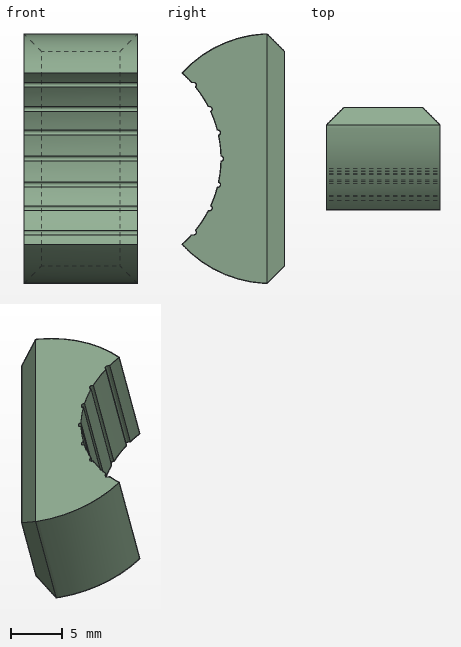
import cadquery as cq
import math

width = 11.0
depth = 9.95
height = 24.2
half_height = height / 2

back_chamfer = 1.7
edge_land = 0.3
end_radius = 11.65
bore_radius = 11.0
tip_half_height = 8.3

groove_radius = 0.25
groove_heights = (2.52, 4.8, 7.14)

bore_axis_y = -math.sqrt(bore_radius**2 - tip_half_height**2)
bore_bottom_y = bore_axis_y + bore_radius
land_start_y = depth - back_chamfer - edge_land


def arc_middle(start, end, radius):
    """Middle of the minor arc that bulges to the left of start -> end."""
    dy = end[0] - start[0]
    dz = end[1] - start[1]
    chord = math.hypot(dy, dz)
    rise = radius - math.sqrt(radius**2 - (chord / 2)**2)
    middle_y = (start[0] + end[0]) / 2 - dz / chord * rise
    middle_z = (start[1] + end[1]) / 2 + dy / chord * rise
    return middle_y, middle_z


def make_body():
    """Side profile with curved ends and a concave front, extruded across X."""
    top_tip = (0, tip_half_height)
    bottom_tip = (0, -tip_half_height)
    top_land = (land_start_y, half_height)
    bottom_land = (land_start_y, -half_height)
    end_middle_y, end_middle_z = arc_middle(top_tip, top_land, end_radius)
    return (
        cq.Workplane("YZ")
        .moveTo(*top_tip)
        .threePointArc((end_middle_y, end_middle_z), top_land)
        .lineTo(depth, half_height)
        .lineTo(depth, -half_height)
        .lineTo(*bottom_land)
        .threePointArc((end_middle_y, -end_middle_z), bottom_tip)
        .threePointArc((bore_bottom_y, 0), top_tip)
        .close()
        .extrude(width / 2, both=True)
    )


def make_groove(center_z):
    """Slot along X, open toward -Y, whose round bottom is centred on the bore surface."""
    center_y = bore_axis_y + math.sqrt(bore_radius**2 - center_z**2)
    return (
        cq.Workplane("YZ")
        .moveTo(0, center_z - groove_radius)
        .lineTo(center_y, center_z - groove_radius)
        .threePointArc((center_y + groove_radius, center_z), (center_y, center_z + groove_radius))
        .lineTo(0, center_z + groove_radius)
        .close()
        .extrude(width / 2, both=True)
    )


body = make_body().faces(">Y").edges().chamfer(back_chamfer)
body = body.cut(make_groove(0))
for groove_height in groove_heights:
    body = body.cut(make_groove(groove_height))
    body = body.cut(make_groove(-groove_height))

result = body